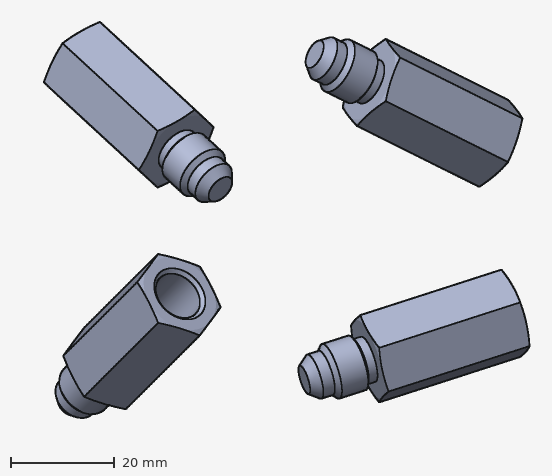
import cadquery as cq
import math

HEX_ACROSS_FLATS = 15.9
HEX_ACROSS_CORNERS = HEX_ACROSS_FLATS / math.cos(math.radians(30))
HEX_LENGTH = 30.25
CORNER_CHAMFER_ANGLE = 15.0

TOTAL_LENGTH = 43.65
NECK_DIAMETER = 9.15
COLLAR_DIAMETER = 11.1
COLLAR_START = 32.05
COLLAR_REAR_CHAMFER_LENGTH = 0.52
COLLAR_END = 38.1
TIP_DIAMETER = 9.0
TIP_CONE_START = 41.55
TIP_END_DIAMETER = 5.8

BORE_DIAMETER = 9.75
BORE_MOUTH_DIAMETER = 11.25
BORE_DEPTH = 13.95
BORE_POINT_ANGLE = 75.0


def revolve_about_x(outline):
    """Turn a closed (x, radius) outline about the X axis."""
    return cq.Workplane("XY").polyline(outline).close().revolve(360, (0, 0, 0), (1, 0, 0))


def make_hex_body():
    prism = cq.Workplane("YZ").polygon(6, HEX_ACROSS_CORNERS).extrude(HEX_LENGTH)
    flat_radius = HEX_ACROSS_FLATS / 2
    corner_radius = HEX_ACROSS_CORNERS / 2
    chamfer_length = (corner_radius - flat_radius) * math.tan(math.radians(CORNER_CHAMFER_ANGLE))
    chamfer_envelope = revolve_about_x([
        (0, 0),
        (0, flat_radius),
        (chamfer_length, corner_radius),
        (HEX_LENGTH - chamfer_length, corner_radius),
        (HEX_LENGTH, flat_radius),
        (HEX_LENGTH, 0),
    ])
    return prism.intersect(chamfer_envelope)


def make_nose():
    neck_radius = NECK_DIAMETER / 2
    collar_radius = COLLAR_DIAMETER / 2
    tip_radius = TIP_DIAMETER / 2
    tip_start = COLLAR_END + collar_radius - tip_radius
    return revolve_about_x([
        (0, 0),
        (0, neck_radius),
        (COLLAR_START, neck_radius),
        (COLLAR_START + COLLAR_REAR_CHAMFER_LENGTH, collar_radius),
        (COLLAR_END, collar_radius),
        (tip_start, tip_radius),
        (TIP_CONE_START, tip_radius),
        (TOTAL_LENGTH, TIP_END_DIAMETER / 2),
        (TOTAL_LENGTH, 0),
    ])


def make_bore():
    bore_radius = BORE_DIAMETER / 2
    mouth_radius = BORE_MOUTH_DIAMETER / 2
    mouth_depth = mouth_radius - bore_radius
    point_length = bore_radius / math.tan(math.radians(BORE_POINT_ANGLE / 2))
    return revolve_about_x([
        (0, 0),
        (0, mouth_radius),
        (mouth_depth, bore_radius),
        (BORE_DEPTH, bore_radius),
        (BORE_DEPTH + point_length, 0),
    ])


result = make_hex_body().union(make_nose()).cut(make_bore())